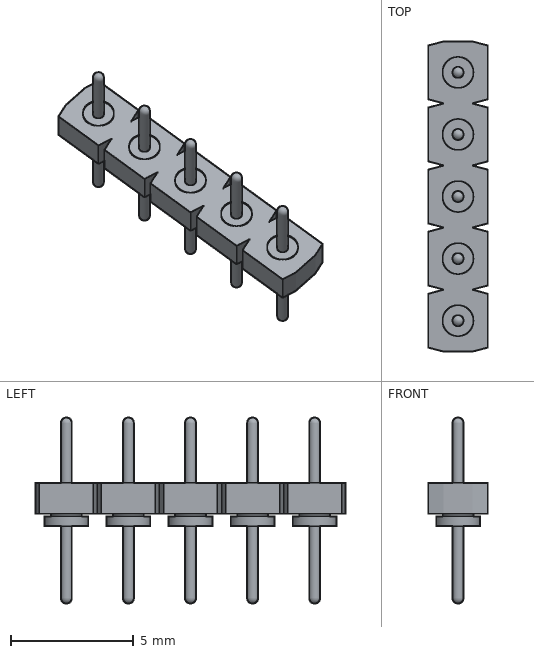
import cadquery as cq

pin_count = 5
strip_length = 12.7
pitch = strip_length / pin_count

housing_width = 2.44
housing_height = 1.27
waist_width = 1.2
bevel_length = 0.17

pin_diameter = 0.46
collar_diameter = 1.27
collar_recess = 0.05
standoff = 0.1
flange_diameter = 1.8
flange_thickness = 0.4
pin_length = 7.62
tail_length = 3.18

collar_top = housing_height - collar_recess
flange_top = -standoff
flange_bottom = flange_top - flange_thickness
pin_bottom = flange_bottom - tail_length
pin_top = pin_bottom + pin_length

pin_positions = [(i - (pin_count - 1) / 2) * pitch for i in range(pin_count)]


def make_cell(y_center):
    """One octagonal cell of the housing, narrowed to the waist at both ends."""
    half_width = housing_width / 2
    half_waist = waist_width / 2
    half_pitch = pitch / 2
    side_end = half_pitch - bevel_length
    outline = [
        (half_waist, -half_pitch),
        (half_width, -side_end),
        (half_width, side_end),
        (half_waist, half_pitch),
        (-half_waist, half_pitch),
        (-half_width, side_end),
        (-half_width, -side_end),
        (-half_waist, -half_pitch),
    ]
    return cq.Workplane("XY").center(0, y_center).polyline(outline).close().extrude(housing_height)


def make_housing():
    """Row of cells joined at their waists, with a through hole for each collar."""
    body = make_cell(pin_positions[0])
    for y_center in pin_positions[1:]:
        body = body.union(make_cell(y_center))
    holes = (
        cq.Workplane("XY")
        .pushPoints([(0, y_center) for y_center in pin_positions])
        .circle(collar_diameter / 2)
        .extrude(housing_height)
    )
    return body.cut(holes).clean()


def make_pin(y_center):
    """Turned pin with hemispherical tips, a collar in the housing and a flange below it."""
    pin_radius = pin_diameter / 2
    collar_radius = collar_diameter / 2
    flange_radius = flange_diameter / 2
    dome_point = pin_radius * 0.5 ** 0.5
    lower_dome_center = pin_bottom + pin_radius
    upper_dome_center = pin_top - pin_radius
    profile = (
        cq.Workplane("XZ")
        .moveTo(0, pin_bottom)
        .threePointArc((dome_point, lower_dome_center - dome_point), (pin_radius, lower_dome_center))
        .lineTo(pin_radius, flange_bottom)
        .lineTo(flange_radius, flange_bottom)
        .lineTo(flange_radius, flange_top)
        .lineTo(collar_radius, flange_top)
        .lineTo(collar_radius, collar_top)
        .lineTo(pin_radius, collar_top)
        .lineTo(pin_radius, upper_dome_center)
        .threePointArc((dome_point, upper_dome_center + dome_point), (0, pin_top))
        .close()
    )
    return profile.revolve(360, (0, 0, 0), (0, 1, 0)).translate((0, y_center, 0))


housing = make_housing()
pins = [make_pin(y_center) for y_center in pin_positions]

result = cq.Compound.makeCompound([housing.val(), *[pin.val() for pin in pins]])